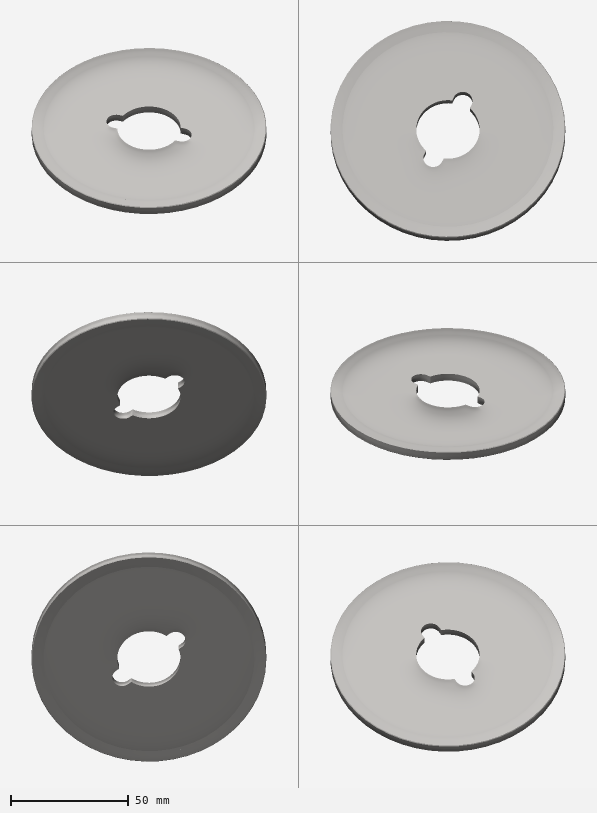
import cadquery as cq

outer_radius = 50.0
thickness = 4.1
mid_height = thickness / 2

flat_radius = 89.8 / 2
flat_thickness = 3.4
joint_radius = 46.0

rim_edge_chamfer = 0.3
crest_radius = outer_radius - rim_edge_chamfer
cone_rise = (thickness - flat_thickness) / 2
cone_slope = cone_rise / (crest_radius - flat_radius)

flat_half = flat_thickness / 2
joint_half = flat_half + cone_slope * (joint_radius - flat_radius)
crest_half = thickness / 2
edge_half = crest_half - rim_edge_chamfer

bore_diameter = 27.0
slot_length = 37.5
slot_width = 8.3


def revolve_mirrored(upper_points):
    """Revolve about Z a section given as (radius, half height) points along its upper side."""
    upper = [(radius, mid_height + half) for radius, half in upper_points]
    lower = [(radius, mid_height - half) for radius, half in reversed(upper_points)]
    return cq.Workplane("XZ").polyline(upper + lower).close().revolve(360, (0, 0, 0), (0, 1, 0))


def make_rim():
    """Ring around the disc, with conical faces and chamfered outer edges."""
    return revolve_mirrored([
        (joint_radius, joint_half),
        (crest_radius, crest_half),
        (outer_radius, edge_half),
    ])


def make_disc():
    """Disc inside the rim, pierced by the central opening."""
    blank = revolve_mirrored([
        (0, flat_half),
        (flat_radius, flat_half),
        (joint_radius, joint_half),
    ])
    bore = cq.Workplane("XY").circle(bore_diameter / 2).extrude(thickness)
    slot = cq.Workplane("XY").slot2D(slot_length, slot_width).extrude(thickness)
    return blank.cut(bore).cut(slot)


rim = make_rim()
disc = make_disc()

result = cq.Compound.makeCompound([rim.val(), disc.val()])